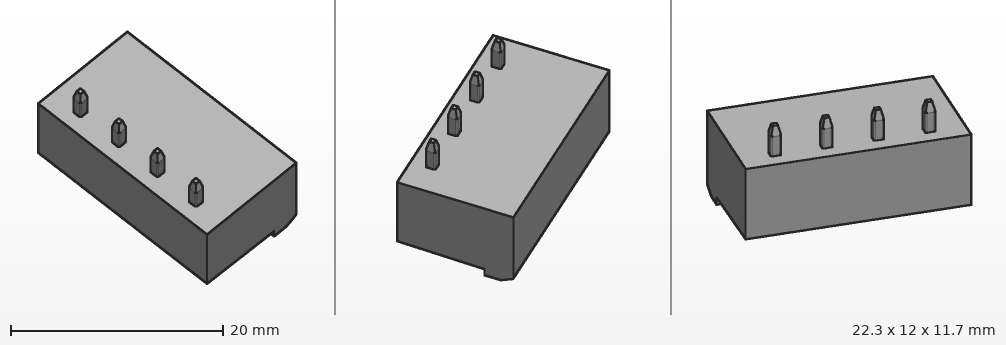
import cadquery as cq

length = 22.32
depth = 12.0
total_height = 11.7
pin_height = 3.12
housing_top = total_height - pin_height
front_bottom = 1.0

ledge_width = 3.0
ledge_root = 0.78
bevel_width = 1.3
bevel_height = 0.65
bevel_round = 0.22

pin_count = 4
pin_pitch = 5.1
pin_width = 1.0
pin_edge_round = 0.15
pin_from_front = 2.1
tip_width = 0.5
tip_height = 1.03
shaft_height = pin_height - tip_height


def make_housing():
    """Extrude the side profile along X and round the back edge of the bevel."""
    profile = [
        (0, front_bottom),
        (depth - ledge_width, ledge_root),
        (depth - ledge_width, 0),
        (depth - bevel_width, 0),
        (depth, bevel_height),
        (depth, housing_top),
        (0, housing_top),
    ]
    block = cq.Workplane("YZ").polyline(profile).close().extrude(length)
    bevel_edge = cq.NearestToPointSelector((length / 2, depth, bevel_height))
    return block.edges(bevel_edge).fillet(bevel_round)


def make_pin():
    """Rounded square shaft trimmed by a four-sided tapered tip, standing on Z = 0."""
    post = cq.Workplane("XY").rect(pin_width, pin_width).extrude(pin_height)
    post = post.edges("|Z").fillet(pin_edge_round)
    shaft = cq.Workplane("XY").rect(pin_width, pin_width).extrude(shaft_height)
    tip = (
        cq.Workplane("XY", origin=(0, 0, shaft_height))
        .rect(pin_width, pin_width)
        .workplane(offset=tip_height)
        .rect(tip_width, tip_width)
        .loft(ruled=True)
    )
    return post.intersect(shaft.union(tip))


result = make_housing()
pin = make_pin()
first_pin_x = (length - (pin_count - 1) * pin_pitch) / 2
for index in range(pin_count):
    pin_x = first_pin_x + index * pin_pitch
    result = result.union(pin.translate((pin_x, pin_from_front, housing_top)))